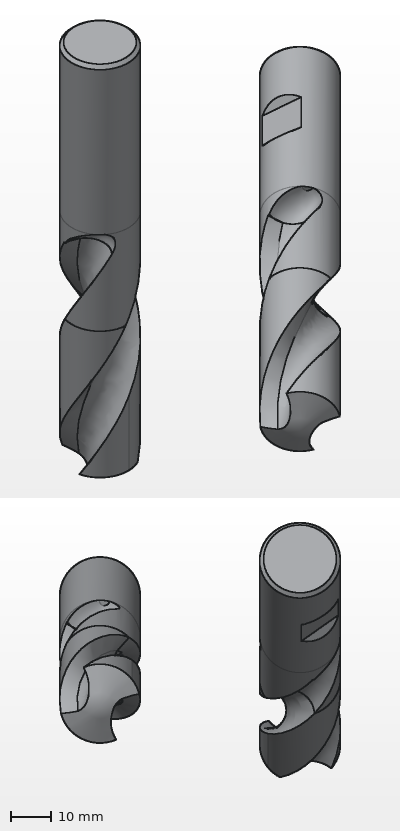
import cadquery as cq
import math

diameter = 20.0
radius = diameter / 2
total_length = 131.0
cutting_length = 49.0
flute_length = 79.0
point_angle = 140.0
point_height = radius / math.tan(math.radians(point_angle / 2))

end_chamfer = 1.0
flat_depth = 1.8
flat_length = 11.0
flat_from_end = 25.0
flat_z = total_length - flat_from_end

flute_count = 2
helix_angle = 30.0
pitch = math.pi * diameter / math.tan(math.radians(helix_angle))
flute_radius = 6.6
tip_flute_angle = 233.0
heel_inner_angle = -38.0
heel_inner_radius = 5.65
heel_outer_angle = -41.5
clearance = 2.0
run_out_steps = 8
rim_radius = radius + 0.02
twist_height = flute_length - flute_radius
twist_angle = 360.0 * twist_height / pitch


def polar(distance, angle):
    """Point at a distance and an angle in degrees from the drill axis."""
    return (
        distance * math.cos(math.radians(angle)),
        distance * math.sin(math.radians(angle)),
    )


def make_channel():
    """One twisted flute that points along +X at Z = 0."""
    heel_inner = polar(heel_inner_radius, heel_inner_angle)
    heel_edge = polar(radius, heel_outer_angle)
    stretch = clearance / math.dist(heel_inner, heel_edge)
    heel_outside = tuple(edge + stretch * (edge - inner) for inner, edge in zip(heel_inner, heel_edge))
    floor = (radius - flute_radius, 0)
    outside = (radius, flute_radius)
    return (
        cq.Workplane("XY")
        .moveTo(*heel_outside)
        .lineTo(*heel_inner)
        .threePointArc(floor, outside)
        .lineTo(radius + flute_radius, 0)
        .close()
        .twistExtrude(twist_height, twist_angle)
    )


def make_run_out():
    """Rounded flute end: the floor circle shrinks like a dome while it keeps following the helix."""
    sections = []
    for step in range(run_out_steps):
        dome_angle = math.radians(90.0 * step / run_out_steps)
        floor_radius = flute_radius * math.cos(dome_angle)
        height = twist_height + flute_radius * math.sin(dome_angle)
        turn = 360.0 * height / pitch
        half_width = math.degrees(
            math.acos((radius**2 + rim_radius**2 - floor_radius**2) / (2 * radius * rim_radius))
        )
        section = (
            cq.Workplane("XY", origin=(0, 0, height))
            .moveTo(*polar(rim_radius, turn - half_width))
            .threePointArc(polar(radius - floor_radius, turn), polar(rim_radius, turn + half_width))
            .threePointArc(polar(rim_radius, turn), polar(rim_radius, turn - half_width))
            .close()
        )
        sections.append(section.val())
    return cq.Workplane(cq.Solid.makeLoft(sections))


def cut_flutes(body):
    """Cut all flutes; the seam where neck and shank cylinders meet is kept."""
    for tool in (make_channel(), make_run_out()):
        for index in range(flute_count):
            turn = tip_flute_angle + index * 360.0 / flute_count
            body = body.cut(tool.rotate((0, 0, 0), (0, 0, 1), turn), clean=False)
    return body


def make_cutting_body():
    """Conical point and fluted cutting length."""
    blank = (
        cq.Workplane("XZ")
        .polyline([(0, 0), (radius, point_height), (radius, cutting_length), (0, cutting_length)])
        .close()
        .revolve(360, (0, 0), (0, 1), clean=False)
    )
    return cut_flutes(blank)


def make_clamping_flat():
    """Notch with a flat floor and 45 degree ends."""
    half_floor = flat_length / 2
    half_mouth = half_floor + flat_depth
    floor_y = radius - flat_depth
    return (
        cq.Workplane("YZ")
        .polyline([
            (floor_y, flat_z - half_floor),
            (floor_y, flat_z + half_floor),
            (radius, flat_z + half_mouth),
            (radius, flat_z - half_mouth),
        ])
        .close()
        .extrude(radius, both=True)
    )


def make_shank_body():
    """Fluted neck and plain shank with a chamfered end and a clamping flat."""
    blank = (
        cq.Workplane("XZ")
        .polyline([
            (0, cutting_length),
            (radius, cutting_length),
            (radius, flute_length),
            (radius, total_length - end_chamfer),
            (radius - end_chamfer, total_length),
            (0, total_length),
        ])
        .close()
        .revolve(360, (0, 0), (0, 1), clean=False)
    )
    return cut_flutes(blank).cut(make_clamping_flat(), clean=False)


cutting_body = make_cutting_body()
shank_body = make_shank_body()

result = cq.Compound.makeCompound([cutting_body.val(), shank_body.val()])